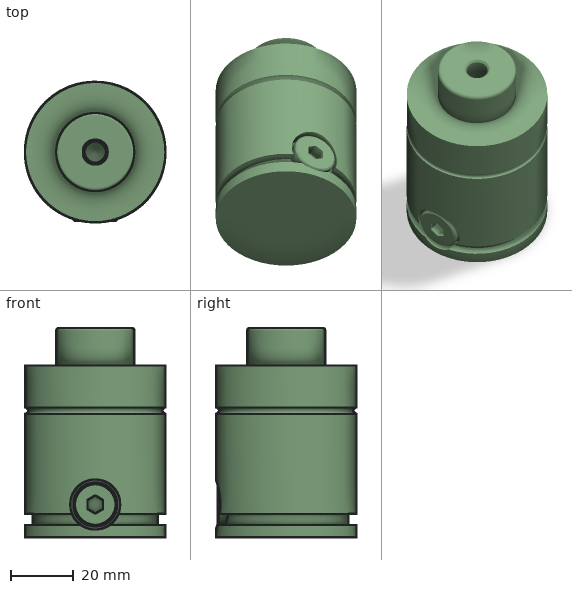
import cadquery as cq
import math

BODY_RADIUS = 45 / 2
BODY_HEIGHT = 55

ROD_RADIUS = 25 / 2
ROD_LENGTH = 12
ROD_EDGE_FILLET = 1

TAP_DRILL_RADIUS = 6.8 / 2
THREAD_RADIUS = 8 / 2
HOLE_DEPTH = 16
DRILL_POINT_ANGLE = 118

ROUND_GROOVE_RADIUS = 1
ROUND_GROOVE_HEIGHT = 40.5

BASE_GROOVE_RADIUS = 40 / 2
BASE_GROOVE_BOTTOM = 4
BASE_GROOVE_TOP = 7.5

PLUG_HEIGHT = 10.5
POCKET_RADIUS = 16 / 2
POCKET_FLOOR_DISTANCE = 17.5
PLUG_RADIUS = 14 / 2
PLUG_FACE_DISTANCE = 22
PLUG_CHAMFER = 0.5
HEX_ACROSS_FLATS = 5
HEX_DEPTH = 4


def make_body():
    """Body of revolution with its two ring grooves."""
    profile = (
        cq.Workplane("XZ")
        .lineTo(BODY_RADIUS, 0)
        .lineTo(BODY_RADIUS, BASE_GROOVE_BOTTOM)
        .lineTo(BASE_GROOVE_RADIUS, BASE_GROOVE_BOTTOM)
        .lineTo(BASE_GROOVE_RADIUS, BASE_GROOVE_TOP)
        .lineTo(BODY_RADIUS, BASE_GROOVE_TOP)
        .lineTo(BODY_RADIUS, ROUND_GROOVE_HEIGHT - ROUND_GROOVE_RADIUS)
        .threePointArc(
            (BODY_RADIUS - ROUND_GROOVE_RADIUS, ROUND_GROOVE_HEIGHT),
            (BODY_RADIUS, ROUND_GROOVE_HEIGHT + ROUND_GROOVE_RADIUS),
        )
        .lineTo(BODY_RADIUS, BODY_HEIGHT)
        .lineTo(0, BODY_HEIGHT)
        .close()
    )
    return profile.revolve(360, (0, 0, 0), (0, 1, 0))


def make_rod():
    """Piston rod with a rounded top edge."""
    rod = cq.Workplane("XY").workplane(offset=BODY_HEIGHT).circle(ROD_RADIUS).extrude(ROD_LENGTH)
    return rod.faces(">Z").edges().fillet(ROD_EDGE_FILLET)


def make_rod_hole():
    """Cutter for the rod hole: 45 degree countersink, drilled bore and cone point."""
    top = BODY_HEIGHT + ROD_LENGTH
    countersink_depth = THREAD_RADIUS - TAP_DRILL_RADIUS
    point_length = TAP_DRILL_RADIUS / math.tan(math.radians(DRILL_POINT_ANGLE / 2))
    profile = (
        cq.Workplane("XZ")
        .moveTo(0, top)
        .lineTo(THREAD_RADIUS, top)
        .lineTo(TAP_DRILL_RADIUS, top - countersink_depth)
        .lineTo(TAP_DRILL_RADIUS, top - HOLE_DEPTH)
        .lineTo(0, top - HOLE_DEPTH - point_length)
        .close()
    )
    return profile.revolve(360, (0, 0, 0), (0, 1, 0))


def plug_plane(distance):
    """Workplane on the plug axis, facing -Y, at a distance from the body axis."""
    return cq.Workplane("XZ", origin=(0, -distance, PLUG_HEIGHT))


def cut_pocket(part):
    """Round flat-bottomed pocket around the plug, open to the -Y side."""
    pocket_depth = BODY_RADIUS - POCKET_FLOOR_DISTANCE
    pocket = plug_plane(POCKET_FLOOR_DISTANCE).circle(POCKET_RADIUS).extrude(pocket_depth)
    return part.cut(pocket)


def add_plug(part):
    """Chamfered plug standing on the pocket floor, with its hex socket."""
    plug_length = PLUG_FACE_DISTANCE - POCKET_FLOOR_DISTANCE
    plug = plug_plane(POCKET_FLOOR_DISTANCE).circle(PLUG_RADIUS).extrude(plug_length)
    plug = plug.faces("<Y").edges().chamfer(PLUG_CHAMFER)
    hex_corner_diameter = HEX_ACROSS_FLATS / math.cos(math.pi / 6)
    socket = (
        plug_plane(PLUG_FACE_DISTANCE - HEX_DEPTH)
        .transformed(rotate=(0, 0, 90))
        .polygon(6, hex_corner_diameter)
        .extrude(HEX_DEPTH)
    )
    return part.union(plug).cut(socket)


housing = make_body().union(make_rod()).cut(make_rod_hole())
result = add_plug(cut_pocket(housing))